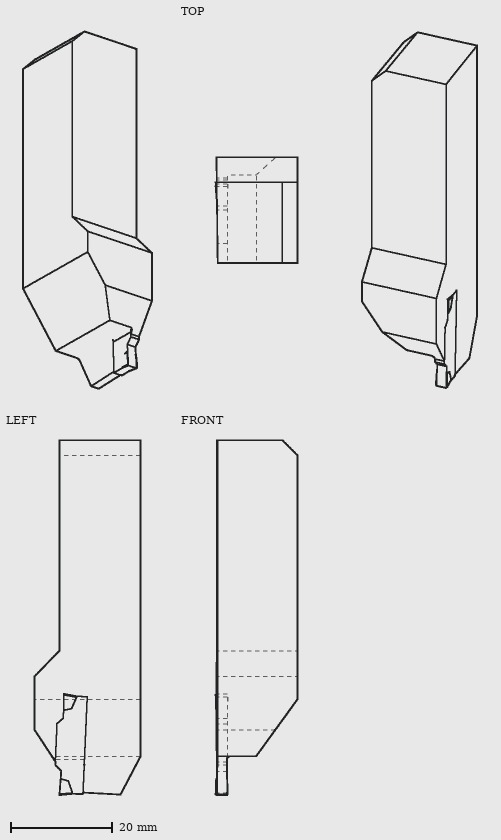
import cadquery as cq
import math


SHANK_WIDTH = 16.0
SHANK_DEPTH = 16.0
TOOL_HEIGHT = 70.0
TOP_CHAMFER = 3.0
SIDE_RELIEF = 0.24
BLADE_THICKNESS = 2.1
BLADE_TOP = 7.65
BLADE_FILLET = 0.6
UNDERSIDE_END = 7.85
SLOPE_TOP = 18.9

NOSE_DEPTH = 20.93
NOSE_TOP = 23.4
NOSE_SHOULDER_TOP = 28.5
NOSE_BOTTOM = 12.9
NOSE_TIP_Y = 16.0
NOSE_TIP_Z = 5.4

FOOT_CHAMFER_Y = 3.95
FOOT_BOTTOM = 0.1
FOOT_REAR_Z = 0.5

SEAT_Y = 11.36
INSERT_TILT = 2.5
INSERT_LENGTH = 19.25
END_FLAT = 2.0
TIP_OVERHANG = 0.38
TIP_DEPTH = 4.65
NECK_DEPTH = 4.5
NECK_LENGTH = 4.4
BACK_DEPTH = 5.72
BACK_START = 5.55

TIP_FLARE = 0.18
HEAD_LENGTH = 2.85
HEAD_KNEE_S = 2.5
HEAD_KNEE_D = 3.0
HEAD_ROOT_WIDTH = 2.0
TIP_CHAMFER = 0.2

tilt_angle = math.radians(INSERT_TILT)
seat_z = TIP_OVERHANG * math.cos(tilt_angle) - TIP_DEPTH * math.sin(tilt_angle)

blade_middle = BLADE_THICKNESS / 2
head_width = BLADE_THICKNESS + 2 * TIP_FLARE


def relieved_section(right_side, bottom, height):
    """Prism with the slanted -X face that shank, blade and insert share."""
    return (
        cq.Workplane("XY", origin=(0, 0, bottom))
        .polyline([(SIDE_RELIEF, 0), (right_side, 0), (right_side, NOSE_DEPTH), (0, NOSE_DEPTH)])
        .close()
        .extrude(height)
    )


def make_holder_blank():
    side_profile = (
        cq.Workplane("YZ")
        .polyline([
            (0, BLADE_TOP),
            (0, TOOL_HEIGHT),
            (SHANK_DEPTH, TOOL_HEIGHT),
            (SHANK_DEPTH, NOSE_SHOULDER_TOP),
            (NOSE_DEPTH, NOSE_TOP),
            (NOSE_DEPTH, NOSE_BOTTOM),
            (NOSE_TIP_Y, NOSE_TIP_Z),
            (SEAT_Y, FOOT_REAR_Z),
            (FOOT_CHAMFER_Y, FOOT_BOTTOM),
        ])
        .close()
        .extrude(SHANK_WIDTH)
    )
    fillet_bulge = BLADE_FILLET * (1 - math.sqrt(0.5))
    front_profile = (
        cq.Workplane("XZ")
        .moveTo(0, 0)
        .lineTo(BLADE_THICKNESS, 0)
        .lineTo(BLADE_THICKNESS, BLADE_TOP - BLADE_FILLET)
        .threePointArc(
            (BLADE_THICKNESS + fillet_bulge, BLADE_TOP - fillet_bulge),
            (BLADE_THICKNESS + BLADE_FILLET, BLADE_TOP),
        )
        .lineTo(UNDERSIDE_END, BLADE_TOP)
        .lineTo(SHANK_WIDTH, SLOPE_TOP)
        .lineTo(SHANK_WIDTH, TOOL_HEIGHT - TOP_CHAMFER)
        .lineTo(SHANK_WIDTH - TOP_CHAMFER, TOOL_HEIGHT)
        .lineTo(0, TOOL_HEIGHT)
        .close()
        .extrude(-NOSE_DEPTH)
    )
    return side_profile.intersect(front_profile).intersect(relieved_section(SHANK_WIDTH, 0, TOOL_HEIGHT))


def place_insert(shape):
    """Tilt a shape drawn with d along Y and s along Z, and move it into the seat."""
    return shape.rotate((0, 0, 0), (1, 0, 0), INSERT_TILT).translate((0, SEAT_Y, seat_z))


def make_insert_core():
    lower_end = [
        (0, 0),
        (END_FLAT, 0),
        (TIP_DEPTH, -TIP_OVERHANG),
        (NECK_DEPTH, NECK_LENGTH),
        (BACK_DEPTH, BACK_START),
    ]
    upper_end = [(d, INSERT_LENGTH - s) for d, s in reversed(lower_end)]
    plate = cq.Workplane("YZ").polyline(lower_end + upper_end).close().extrude(BLADE_THICKNESS)
    section = relieved_section(BLADE_THICKNESS, -TIP_DEPTH, INSERT_LENGTH + 2 * TIP_DEPTH)
    return place_insert(plate).intersect(section)


def make_cutting_head():
    """Lower head: flush along its inner slanted edge, flaring on both sides toward the tip."""
    outline = (
        cq.Workplane("YZ", origin=(blade_middle, 0, 0))
        .polyline([
            (END_FLAT, 0),
            (TIP_DEPTH, -TIP_OVERHANG),
            (NECK_DEPTH, HEAD_LENGTH),
            (HEAD_KNEE_D, HEAD_KNEE_S),
        ])
        .close()
        .extrude(head_width, both=True)
    )
    edge_d = HEAD_KNEE_D - END_FLAT
    edge_length = math.hypot(edge_d, HEAD_KNEE_S)
    edge_direction = (0, edge_d / edge_length, HEAD_KNEE_S / edge_length)
    reach = ((TIP_DEPTH - END_FLAT) * HEAD_KNEE_S + TIP_OVERHANG * edge_d) / edge_length
    flare = (
        cq.Workplane(cq.Plane((blade_middle, END_FLAT, 0), (1, 0, 0), edge_direction))
        .polyline([
            (-HEAD_ROOT_WIDTH / 2, 0),
            (HEAD_ROOT_WIDTH / 2, 0),
            (head_width / 2, reach),
            (-head_width / 2, reach),
        ])
        .close()
        .extrude(TIP_DEPTH, both=True)
    )
    return outline.intersect(flare).faces("<Z").edges("not #X").chamfer(TIP_CHAMFER)


def make_insert():
    lower_head = make_cutting_head()
    upper_head = lower_head.mirror("XY").translate((0, 0, INSERT_LENGTH))
    return make_insert_core().union(place_insert(lower_head)).union(place_insert(upper_head))


insert = make_insert()
holder = make_holder_blank().cut(insert)

result = cq.Compound.makeCompound([holder.val(), insert.val()])